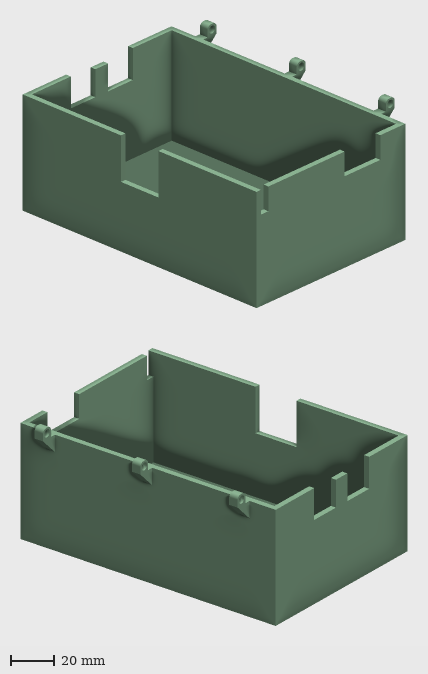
import cadquery as cq

length = 150.0
width = 100.0
height = 60.0
wall = 3.0
floor = 3.0

front_notch_width = 24.0
front_notch_depth = 24.0

left_notch_width = 41.7
left_notch_depth = 16.5
tongue_width = 8.5
tongue_drop = 2.1

right_notch_start = 59.2
right_notch_width = 24.0
right_notch_depth = 12.8
corner_notch_width = 5.0

lug_spacing = 57.2
lug_thickness = 5.0
lug_reach = 9.0
eye_size = 6.0
eye_radius = 2.4
pin_diameter = 4.0


def block(x, y, z, dx, dy, dz):
    """Box with its lowest corner at (x, y, z)."""
    return cq.Workplane("XY").box(dx, dy, dz, centered=False).translate((x, y, z))


def side_notch(x, y, notch_width, depth):
    """Cutter that opens a side wall from the rim down."""
    return block(x, y, height - depth, wall, notch_width, depth)


def hinge_lug(center_x):
    """Pierced eye above the rim, carried by a 45 degree gusset on the back wall."""
    tip_y = width + lug_reach
    eye_y = tip_y - eye_size
    lug = (
        cq.Workplane("YZ")
        .moveTo(width - wall, height)
        .lineTo(eye_y, height)
        .lineTo(eye_y, height + eye_size)
        .lineTo(tip_y, height + eye_size)
        .lineTo(tip_y, height)
        .lineTo(width, height - lug_reach)
        .lineTo(width - wall, height - lug_reach)
        .close()
        .extrude(lug_thickness / 2, both=True)
    )
    lug = lug.faces(">Z").edges("|X").fillet(eye_radius)
    pin = (
        cq.Workplane("YZ")
        .center(tip_y - eye_size / 2, height + eye_size / 2)
        .circle(pin_diameter / 2)
        .extrude(lug_thickness, both=True)
    )
    return lug.cut(pin).translate((center_x, 0, 0))


body = block(0, 0, 0, length, width, height)
body = body.cut(block(wall, wall, floor, length - 2 * wall, width - 2 * wall, height))

front_notch_x = (length - front_notch_width) / 2
body = body.cut(
    block(front_notch_x, 0, height - front_notch_depth, front_notch_width, wall, front_notch_depth)
)

body = body.cut(side_notch(0, (width - left_notch_width) / 2, left_notch_width, left_notch_depth))
tongue_height = left_notch_depth - tongue_drop
tongue_y = (width - tongue_width) / 2
body = body.union(
    block(0, tongue_y, height - left_notch_depth, wall, tongue_width, tongue_height)
)

right_wall_x = length - wall
body = body.cut(side_notch(right_wall_x, right_notch_start, right_notch_width, right_notch_depth))
body = body.cut(side_notch(right_wall_x, wall, corner_notch_width, right_notch_depth))

for step in (-1, 0, 1):
    body = body.union(hinge_lug(length / 2 + step * lug_spacing))

result = body